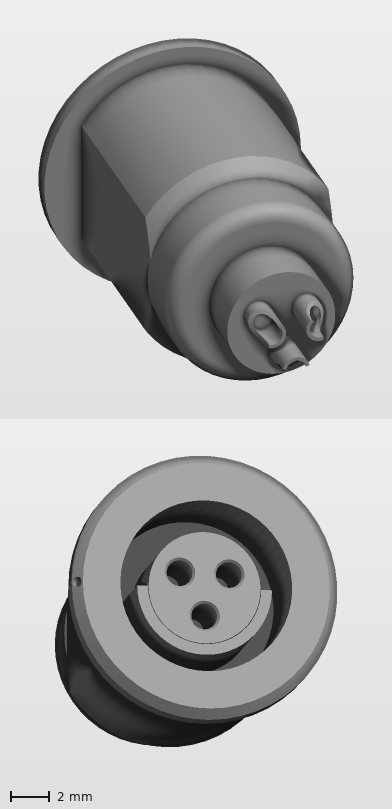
import cadquery as cq
import math

total_length = 22.0
flange_thickness = 1.5
body_end = 13.0
collar_end = 16.5
insert_end = 19.5
insert_face = 0.5

flange_diameter = 14.0
flange_chamfer = 0.5
body_diameter = 12.0
body_width_across_flats = 10.0
collar_diameter = 10.3
collar_edge_radius = 0.8
socket_diameter = 9.05
socket_depth = 5.5

dot_diameter = 0.55
dot_depth = 0.5

insert_diameter = 5.9
key_outer_diameter = 7.1
key_inner_diameter = 5.96

contact_count = 3
contact_circle_diameter = 3.0
first_contact_angle = 30.0
contact_hole_diameter = 1.35
contact_hole_chamfer = 0.13
contact_hole_depth = 4.0
pin_diameter = 1.5

cup_bore_diameter = 1.1
cup_start = 20.2
cup_land_length = 0.27
cup_land_radius = contact_circle_diameter / 2


def cylinder(diameter, start, end):
    """Cylinder along X, centred on the part axis."""
    return cq.Workplane("YZ", origin=(start, 0, 0)).circle(diameter / 2).extrude(end - start)


def contact_places():
    """(Y, Z) of each contact on the contact circle."""
    radius = contact_circle_diameter / 2
    angles = [math.radians(first_contact_angle + i * 360 / contact_count) for i in range(contact_count)]
    return [(radius * math.cos(angle), radius * math.sin(angle)) for angle in angles]


def make_shell():
    """Flange, flatted body and rear collar, with the socket bored in from the front."""
    flange = cylinder(flange_diameter, 0, flange_thickness).faces("<X").chamfer(flange_chamfer)
    rear_chamfer = (body_diameter - collar_diameter) / 2
    body = cylinder(body_diameter, 0, body_end).faces(">X").chamfer(rear_chamfer)
    across_flats = cq.Workplane("XY").box(2 * body_end, body_width_across_flats, body_diameter)
    collar = cylinder(collar_diameter, body_end, collar_end).faces(">X").edges().fillet(collar_edge_radius)
    shell = body.intersect(across_flats).union(flange).union(collar)
    return shell.cut(cylinder(socket_diameter, 0, socket_depth))


def make_alignment_dot():
    """Hole sunk square to the flange chamfer, on its +Y side."""
    mid_chamfer = (flange_chamfer / 2, (flange_diameter - flange_chamfer) / 2, 0)
    chamfer_normal = (-1, 1, 0)
    chamfer_face = cq.Plane(origin=mid_chamfer, xDir=(0, 0, 1), normal=chamfer_normal)
    return cq.Workplane(chamfer_face).circle(dot_diameter / 2).extrude(dot_depth, both=True)


def make_key():
    """Lower half of a ring around the insert, rooted in the socket floor."""
    ring = cylinder(key_outer_diameter, insert_face, socket_depth)
    ring = ring.cut(cylinder(key_inner_diameter, insert_face, socket_depth))
    lower_half = cq.Workplane("XY").box(
        2 * socket_depth, key_outer_diameter, key_outer_diameter, centered=(True, True, False)
    ).translate((0, 0, -key_outer_diameter))
    return ring.intersect(lower_half)


def make_contact_hole(y, z):
    """Countersunk blind hole in the front face of the insert."""
    hole_radius = contact_hole_diameter / 2
    mouth_radius = hole_radius + contact_hole_chamfer
    mouth = cq.Workplane("YZ", origin=(insert_face, y, z))
    hole = mouth.circle(hole_radius).extrude(contact_hole_depth)
    mouth_centre = cq.Vector(insert_face, y, z)
    countersink = cq.Workplane(
        cq.Solid.makeCone(mouth_radius, hole_radius, contact_hole_chamfer, mouth_centre, cq.Vector(1, 0, 0))
    )
    return hole.union(countersink)


def make_pin(y, z):
    """Plain pin bored out from its rear end."""
    pin = cylinder(pin_diameter, collar_end, total_length)
    bore = cylinder(cup_bore_diameter, cup_start, total_length)
    return pin.cut(bore).translate((0, y, z))


def make_cup_relief():
    """Ring turned about the part axis that opens the outward side of every solder cup."""
    outer_radius = (contact_circle_diameter + pin_diameter) / 2
    land_start = total_length - cup_land_length
    run = land_start - cup_start
    rise = outer_radius - cup_land_radius
    arc_radius = (run**2 + rise**2) / (2 * rise)
    half_sweep = math.asin(run / arc_radius) / 2
    arc_middle = (
        land_start - arc_radius * math.sin(half_sweep),
        cup_land_radius + arc_radius * (1 - math.cos(half_sweep)),
    )
    return (
        cq.Workplane("XY")
        .moveTo(cup_start, outer_radius)
        .threePointArc(arc_middle, (land_start, cup_land_radius))
        .lineTo(total_length, cup_land_radius)
        .lineTo(total_length, outer_radius)
        .close()
        .revolve(360, (0, 0, 0), (1, 0, 0))
    )


result = make_shell().cut(make_alignment_dot())
result = result.union(cylinder(insert_diameter, insert_face, insert_end)).union(make_key())
for y, z in contact_places():
    result = result.union(make_pin(y, z)).cut(make_contact_hole(y, z))
result = result.cut(make_cup_relief())